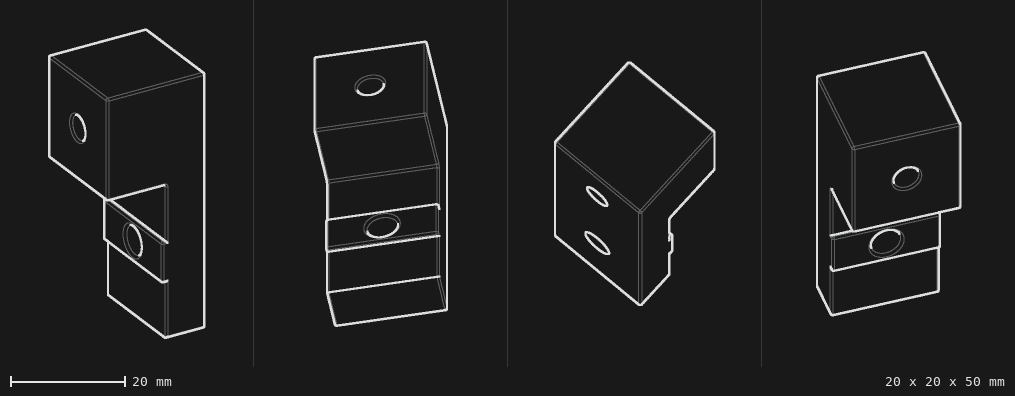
import cadquery as cq
import math

width = 20.0
depth = 20.0
height = 50.0

head_height = 20.0
leg_depth = 8.0
pad_projection = 0.8
pad_height = 8.0
edge_radius = 0.4
inner_fillet = 0.4

head_hole_diameter = 4.7
head_hole_rounding = 0.4
pad_hole_diameter = 5.5
pad_hole_rounding = 0.5

back_y = depth / 2
front_y = -depth / 2
leg_y = back_y - leg_depth
pad_y = leg_y - pad_projection
head_bottom_z = height - head_height
head_hole_z = height - head_height / 2
pad_center_z = head_bottom_z / 2
pad_bottom_z = pad_center_z - pad_height / 2


def slab(face_y, rear_y, bottom_z, slab_height):
    """Full-width box from rear_y forward to face_y."""
    box = cq.Workplane("XY").box(width, rear_y - face_y, slab_height, centered=(True, False, False))
    return box.translate((0, face_y, bottom_z))


def make_body():
    """Head and leg with a filleted inner corner and rounded outer edges."""
    body = slab(front_y, back_y, head_bottom_z, head_height).union(slab(leg_y, back_y, 0, head_bottom_z))
    inner_corner = cq.selectors.NearestToPointSelector((0, leg_y, head_bottom_z))
    body = body.edges(inner_corner).fillet(inner_fillet)
    side_edges = body.faces("<X or >X").edges()
    cross_edges = body.faces(">Z or <Y").edges("|X").add(body.faces(">Y").edges("|X and <Z"))
    return body.newObject(side_edges.vals() + cross_edges.vals()).fillet(edge_radius)


def make_pad():
    """Raised band across the leg; its back stays inside the leg."""
    leg_mid_y = leg_y + leg_depth / 2
    pad = slab(pad_y, leg_mid_y, pad_bottom_z, pad_height)
    return pad.edges("not >Y").fillet(edge_radius)


def hole_cutter(face_y, center_z, diameter, rounding):
    """Through hole along Y whose front rim flares outward in a quarter-round."""
    radius = diameter / 2
    length = back_y - face_y
    arc_inset = rounding * (1 - math.sqrt(0.5))
    half_section = (
        cq.Workplane("XY", origin=(0, face_y, center_z))
        .lineTo(radius + rounding, 0)
        .threePointArc((radius + arc_inset, arc_inset), (radius, rounding))
        .lineTo(radius, length)
        .lineTo(0, length)
        .close()
    )
    return half_section.revolve(360, (0, 0, 0), (0, 1, 0))


result = (
    make_body()
    .union(make_pad())
    .cut(hole_cutter(front_y, head_hole_z, head_hole_diameter, head_hole_rounding))
    .cut(hole_cutter(pad_y, pad_center_z, pad_hole_diameter, pad_hole_rounding))
)